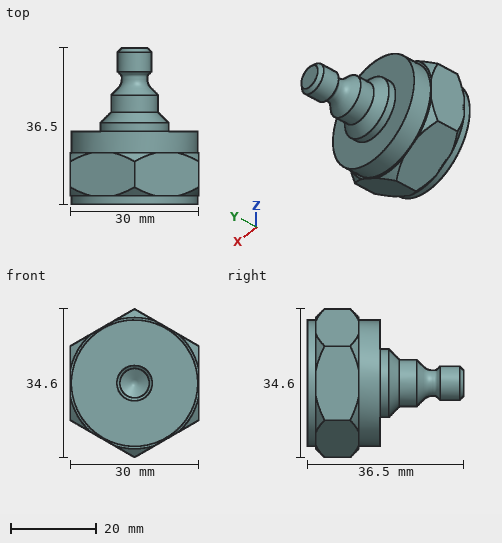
import cadquery as cq
import math

total_length = 36.5
front_land_length = 2.0
hex_length = 10.0
body_length = 17.0
collar_length = 2.0
collar_cone_length = 2.5
shank_back = total_length - 11.0
head_length = 5.5

body_radius = 29.5 / 2
collar_radius = 16.0 / 2
shank_radius = 11.0 / 2
neck_radius = 6.1 / 2
head_radius = 8.0 / 2
tip_chamfer = 1.0
shank_fillet = 2.63
head_fillet = 0.65

hex_across_flats = 30.0
hex_corner_radius = hex_across_flats / math.sqrt(3)
hex_corner_chamfer = 2.0

hole_radius = 6.85 / 2
hole_mouth_radius = 8.25 / 2
hole_depth = 15.0
drill_point_angle = 118.0


def revolve_about_y(profile):
    """Turn a closed profile of (radius, Y) points about the Y axis."""
    return profile.close().revolve(360, (0, 0, 0), (0, 1, 0))


def fillet_rise(radius):
    """Radial growth of a fillet that turns from the neck onto a 45 degree cone."""
    return radius * (1 - math.cos(math.pi / 4))


def fillet_run(radius):
    """Axial length of the same fillet."""
    return radius * math.sin(math.pi / 4)


def fillet_middle(neck_end, radius, direction):
    """Midpoint of a fillet leaving the neck at neck_end, toward +Y or -Y."""
    half_turn = math.pi / 8
    return (
        neck_radius + radius * (1 - math.cos(half_turn)),
        neck_end + direction * radius * math.sin(half_turn),
    )


def make_turned_body():
    collar_end = body_length + collar_length
    collar_cone_end = collar_end + collar_cone_length
    shank_cone_radius = neck_radius + fillet_rise(shank_fillet)
    shank_cone_end = shank_back + shank_radius - shank_cone_radius
    neck_start = shank_cone_end + fillet_run(shank_fillet)
    head_start = total_length - head_length
    head_cone_radius = neck_radius + fillet_rise(head_fillet)
    head_cone_start = head_start - (head_radius - head_cone_radius)
    neck_end = head_cone_start - fillet_run(head_fillet)

    profile = (
        cq.Workplane("XY")
        .lineTo(body_radius, 0)
        .lineTo(body_radius, body_length)
        .lineTo(collar_radius, body_length)
        .lineTo(collar_radius, collar_end)
        .lineTo(shank_radius, collar_cone_end)
        .lineTo(shank_radius, shank_back)
        .lineTo(shank_cone_radius, shank_cone_end)
        .threePointArc(fillet_middle(neck_start, shank_fillet, -1), (neck_radius, neck_start))
        .lineTo(neck_radius, neck_end)
        .threePointArc(fillet_middle(neck_end, head_fillet, 1), (head_cone_radius, head_cone_start))
        .lineTo(head_radius, head_start)
        .lineTo(head_radius, total_length - tip_chamfer)
        .lineTo(head_radius - tip_chamfer, total_length)
        .lineTo(0, total_length)
    )
    return revolve_about_y(profile)


def make_hexagon():
    """Hexagonal prism whose corners are turned off at 45 degrees on both ends."""
    hex_end = front_land_length + hex_length
    corners = []
    for index in range(6):
        angle = math.radians(90 + 60 * index)
        corners.append((hex_corner_radius * math.cos(angle), hex_corner_radius * math.sin(angle)))
    prism = (
        cq.Workplane("XZ", origin=(0, front_land_length, 0))
        .polyline(corners)
        .close()
        .extrude(-hex_length)
    )
    face_radius = hex_corner_radius - hex_corner_chamfer
    envelope = (
        cq.Workplane("XY")
        .moveTo(0, front_land_length)
        .lineTo(face_radius, front_land_length)
        .lineTo(hex_corner_radius, front_land_length + hex_corner_chamfer)
        .lineTo(hex_corner_radius, hex_end - hex_corner_chamfer)
        .lineTo(face_radius, hex_end)
        .lineTo(0, hex_end)
    )
    return prism.intersect(revolve_about_y(envelope))


def make_hole():
    """Drilled hole with a conical bottom and a 45 degree countersunk mouth."""
    point_length = hole_radius / math.tan(math.radians(drill_point_angle / 2))
    profile = (
        cq.Workplane("XY")
        .lineTo(hole_mouth_radius, 0)
        .lineTo(hole_radius, hole_mouth_radius - hole_radius)
        .lineTo(hole_radius, hole_depth)
        .lineTo(0, hole_depth + point_length)
    )
    return revolve_about_y(profile)


result = make_turned_body().union(make_hexagon()).cut(make_hole())